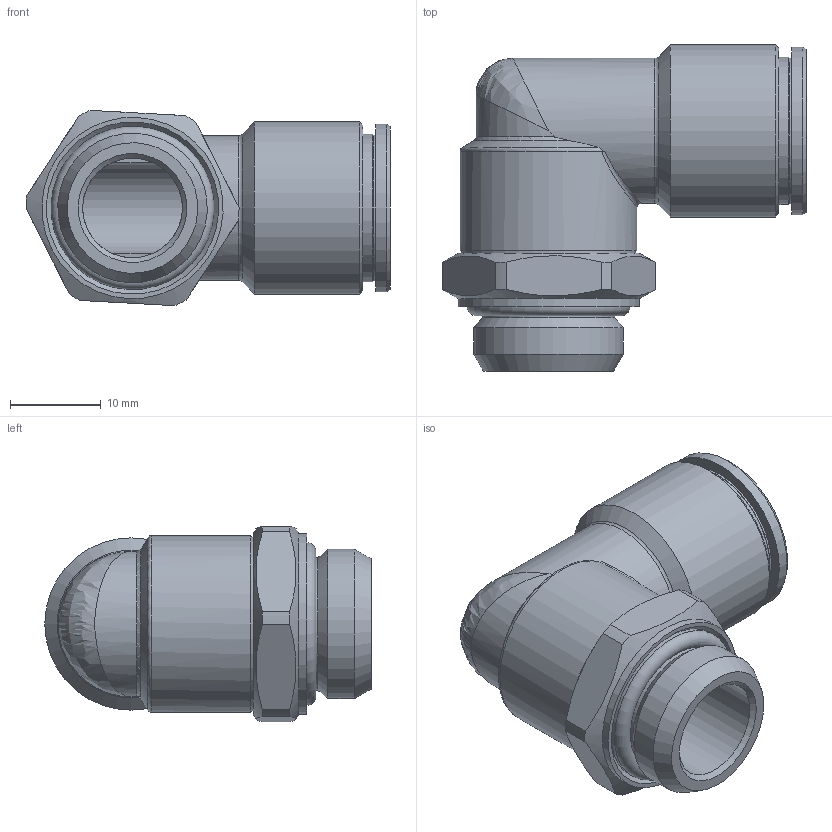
import cadquery as cq
import math


ALONG_X = "XZ"
ALONG_Y = "YZ"
BORE_R = 5.5
CONTACT_Y = -13.5

ARM_R = 8.0
CORNER_FILLET = 4.0
SOFT_R = 0.5
SOCKET_R = 9.5
SOCKET_START_X = 11.95
SOCKET_END_X = 25.4
EDGE_CHAMFER = 0.35
NECK_R = 8.125
NECK_END_X = 26.6
NECK_CHAMFER = 0.1
COLLET_R = 9.25
COLLET_START_X = 26.85
COLLET_END_X = 28.4
COLLET_CHAMFER_DEPTH = 0.25
COLLET_CHAMFER_LENGTH = 0.35
TUBE_BORE_R = 5.0
TUBE_BORE_START_X = -6.0

BARREL_R = 9.75
BARREL_TOP_Y = -0.95
SHOULDER_ANGLE = 30.0
BARREL_FULL_Y = BARREL_TOP_Y - (BARREL_R - ARM_R) * math.tan(math.radians(SHOULDER_ANGLE))
BARREL_FOOT_R = 9.6
BARREL_FOOT_HEIGHT = 0.3

HEX_SIDES = 6
HEX_FLATS = 21.0
HALF_HEX_STEP = 180 / HEX_SIDES
HEX_ROUND_R = 11.75
HEX_FACE_R = 10.0
HEX_CHAMFER_HEIGHT = 1.0
HEX_HEIGHT = 5.0
STUD_TURN = 3.17
FLANGE_R = 10.0
FLANGE_HEIGHT = 0.9
SEAL_RING_R = 8.0
SEAL_BEAD_R = 1.0
SEAL_RECESS_R = 9.5
SEAL_RECESS_DEPTH = 0.5
THREAD_R = 8.25
THREAD_ROOT_R = 7.3
THREAD_RUNOUT_START_Y = -20.6
THREAD_START_Y = -21.7
THREAD_CHAMFER_Y = -24.65
THREAD_TIP_R = 7.2
STUD_END_Y = -26.5
MOUTH_R = 6.0
MOUTH_DEPTH = 0.5


def spin(plane, points, rounded=()):
    """Revolve (axial, radius) points about the plane's first axis, rounding the listed points."""
    face = cq.Face.makeFromWires(cq.Workplane(plane).polyline(points).close().val())
    if rounded:
        corners = [face.Vertices()[index] for index in rounded]
        face = face.fillet2D(SOFT_R, corners)
    return cq.Workplane(plane).add(face.outerWire()).toPending().revolve(360, (0, 0), (1, 0))


def rod(plane, radius, start, end):
    return spin(plane, [(start, 0), (start, radius), (end, radius), (end, 0)])


def round_corner():
    """Outer quarter of the elbow, where arm and stem meet in a filleted mitre."""
    quarter = cq.Workplane("XY").box(ARM_R, ARM_R, 2 * ARM_R).translate((-ARM_R / 2, ARM_R / 2, 0))
    arm = rod(ALONG_X, ARM_R, -ARM_R, ARM_R)
    stem = rod(ALONG_Y, ARM_R, -ARM_R, ARM_R)
    mitred = arm.intersect(stem).intersect(quarter)
    return mitred.edges("%ELLIPSE").fillet(CORNER_FILLET)


def socket_arm():
    """Arm with the wider socket, the neck and the release collet."""
    return spin(ALONG_X, [
        (0, 0),
        (0, ARM_R),
        (SOCKET_START_X, ARM_R),
        (SOCKET_START_X + SOCKET_R - ARM_R, SOCKET_R),
        (SOCKET_END_X - EDGE_CHAMFER, SOCKET_R),
        (SOCKET_END_X, SOCKET_R - EDGE_CHAMFER),
        (SOCKET_END_X, NECK_R),
        (NECK_END_X - NECK_CHAMFER, NECK_R),
        (NECK_END_X, NECK_R - NECK_CHAMFER),
        (COLLET_START_X, NECK_R - NECK_CHAMFER),
        (COLLET_START_X, COLLET_R),
        (COLLET_END_X - COLLET_CHAMFER_LENGTH, COLLET_R),
        (COLLET_END_X, COLLET_R - COLLET_CHAMFER_DEPTH),
        (COLLET_END_X, 0),
    ], rounded=[2])


def barrel():
    """Stem widening through a rounded conical shoulder into the barrel, with a stepped foot."""
    foot_y = CONTACT_Y + BARREL_FOOT_HEIGHT
    return spin(ALONG_Y, [
        (0, 0),
        (0, ARM_R),
        (BARREL_TOP_Y, ARM_R),
        (BARREL_FULL_Y, BARREL_R),
        (foot_y, BARREL_R),
        (foot_y, BARREL_FOOT_R),
        (CONTACT_Y, BARREL_FOOT_R),
        (CONTACT_Y, 0),
    ], rounded=[2, 3])


def joint_fillet():
    """Lower part of the crossing of arm and barrel, with its concave edge rounded."""
    upright = rod(ALONG_Y, BARREL_R, CONTACT_Y + BARREL_FOOT_HEIGHT, BARREL_R)
    crossing = upright.union(rod(ALONG_X, ARM_R, 0, SOCKET_START_X - SOFT_R))
    edge_zone = cq.selectors.BoxSelector(
        (0, -ARM_R - SOFT_R, -ARM_R - SOFT_R),
        (BARREL_R + SOFT_R, ARM_R + SOFT_R, ARM_R + SOFT_R),
        boundingbox=True,
    )
    crossing = crossing.edges(edge_zone).edges("%BSPLINE").fillet(SOFT_R)
    shoulder_rounding = SOFT_R * math.tan(math.radians(90 - SHOULDER_ANGLE) / 2)
    kept_top_y = BARREL_FULL_Y - shoulder_rounding
    kept = rod(ALONG_Y, SOCKET_START_X, CONTACT_Y, kept_top_y)
    return crossing.intersect(kept)


def flow_passage():
    down_bore = rod(ALONG_Y, BORE_R, CONTACT_Y, 0)
    cross_bore = rod(ALONG_X, TUBE_BORE_R, TUBE_BORE_START_X, COLLET_END_X)
    return down_bore.union(cross_bore)


def housing_body():
    outer = barrel().union(socket_arm()).union(joint_fillet()).union(round_corner())
    return outer.cut(flow_passage())


def stud_hexagon():
    end_y = CONTACT_Y - HEX_HEIGHT
    prism = (
        cq.Workplane("XZ")
        .workplane(offset=-CONTACT_Y)
        .polygon(HEX_SIDES, HEX_FLATS, circumscribed=True)
        .extrude(HEX_HEIGHT)
        .rotate((0, 0, 0), (0, 1, 0), HALF_HEX_STEP)
    )
    trim = spin(ALONG_Y, [
        (CONTACT_Y, 0),
        (CONTACT_Y, HEX_FACE_R),
        (CONTACT_Y - HEX_CHAMFER_HEIGHT, HEX_ROUND_R),
        (end_y + HEX_CHAMFER_HEIGHT, HEX_ROUND_R),
        (end_y, HEX_FACE_R),
        (end_y, 0),
    ])
    return prism.intersect(trim)


def stud_shank():
    """Flange with its recess and seal bead, then the threaded end."""
    hex_end_y = CONTACT_Y - HEX_HEIGHT
    flange_y = hex_end_y - FLANGE_HEIGHT
    bead_reach = math.sqrt(SEAL_BEAD_R**2 - (SEAL_RING_R - THREAD_ROOT_R)**2)
    profile = (
        cq.Workplane(ALONG_Y)
        .moveTo(hex_end_y, 0)
        .lineTo(hex_end_y, FLANGE_R)
        .lineTo(flange_y, FLANGE_R)
        .lineTo(flange_y, SEAL_RECESS_R)
        .lineTo(flange_y + SEAL_RECESS_DEPTH, SEAL_RING_R + SEAL_BEAD_R)
        .lineTo(flange_y, SEAL_RING_R + SEAL_BEAD_R)
        .threePointArc((flange_y - SEAL_BEAD_R, SEAL_RING_R), (flange_y - bead_reach, THREAD_ROOT_R))
        .lineTo(THREAD_RUNOUT_START_Y, THREAD_ROOT_R)
        .lineTo(THREAD_START_Y, THREAD_R)
        .lineTo(THREAD_CHAMFER_Y, THREAD_R)
        .lineTo(STUD_END_Y, THREAD_TIP_R)
        .lineTo(STUD_END_Y, 0)
        .close()
    )
    return profile.revolve(360, (0, 0), (1, 0))


def stud_body():
    mouth = spin(ALONG_Y, [
        (STUD_END_Y, 0),
        (STUD_END_Y, MOUTH_R),
        (STUD_END_Y + MOUTH_DEPTH, BORE_R),
        (STUD_END_Y + MOUTH_DEPTH, 0),
    ])
    bore = rod(ALONG_Y, BORE_R, STUD_END_Y, CONTACT_Y)
    solid = stud_hexagon().union(stud_shank()).cut(bore).cut(mouth)
    return solid.rotate((0, 0, 0), (0, 1, 0), STUD_TURN)


housing = housing_body()
stud = stud_body()
result = cq.Compound.makeCompound([housing.val(), stud.val()])